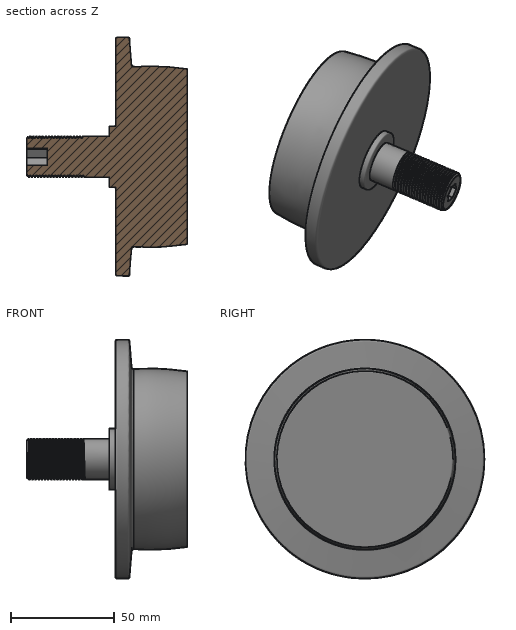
import cadquery as cq
import math


THREAD_END = 28.4
COLLAR_FACE = 40.0
FLANGE_FACE = 43.0
RIM_END = 49.9
TREAD_START = 51.0
WHEEL_END = 78.0

FLANGE_RADIUS = 58.0
FLANGE_FILLET = 1.0
TREAD_DIAMETER = 88.0
CROWN_X = 59.7
CROWN_ARC_RADIUS = 121.8
TREAD_ROOT_FILLET = 0.9
WHEEL_END_FILLET = 0.6

STUD_RADIUS = 10.0
COLLAR_RADIUS = 15.0
COLLAR_FILLET = 0.6
TIP_CHAMFER = 1.0

PITCH = 1.5
TURNS = 19
THREAD_DEPTH = 0.9
CREST_WIDTH = 0.2
GROOVE_OVERCUT = 0.1

SOCKET_FLATS = 8.0
SOCKET_DEPTH = 10.0
SOCKET_TURN = 6.6


def tread_radius(x):
    """Radius of the crowned tread at a place along the axis."""
    drop = CROWN_ARC_RADIUS - math.sqrt(CROWN_ARC_RADIUS**2 - (x - CROWN_X) ** 2)
    return TREAD_DIAMETER / 2 - drop


def revolve_about_axis(outline):
    return outline.close().revolve(360, (0, 0, 0), (1, 0, 0))


def edges_at(body, x, radius):
    """Circular edges of a revolved body at a given place and radius."""
    margin = 0.06
    box = cq.selectors.BoxSelector(
        (x - margin, -radius - margin, -radius - margin),
        (x + margin, radius + margin, radius + margin),
        boundingbox=True,
    )
    circles = body.edges(box).edges("%CIRCLE").vals()
    return body.newObject([edge for edge in circles if abs(edge.radius() - radius) < margin])


def make_wheel():
    tread_middle = (TREAD_START + WHEEL_END) / 2
    wheel = revolve_about_axis(
        cq.Workplane("XY")
        .moveTo(FLANGE_FACE, 0)
        .lineTo(FLANGE_FACE, FLANGE_RADIUS)
        .lineTo(RIM_END, FLANGE_RADIUS)
        .lineTo(TREAD_START, tread_radius(TREAD_START))
        .threePointArc(
            (tread_middle, tread_radius(tread_middle)),
            (WHEEL_END, tread_radius(WHEEL_END)),
        )
        .lineTo(WHEEL_END, 0)
    )
    wheel = edges_at(wheel, FLANGE_FACE, FLANGE_RADIUS).fillet(FLANGE_FILLET)
    wheel = edges_at(wheel, RIM_END, FLANGE_RADIUS).fillet(FLANGE_FILLET)
    wheel = edges_at(wheel, TREAD_START, tread_radius(TREAD_START)).fillet(TREAD_ROOT_FILLET)
    return edges_at(wheel, WHEEL_END, tread_radius(WHEEL_END)).fillet(WHEEL_END_FILLET)


def make_collar():
    collar = cq.Workplane("YZ", origin=(COLLAR_FACE, 0, 0)).circle(COLLAR_RADIUS)
    return collar.extrude(FLANGE_FACE - COLLAR_FACE).faces("<X").edges().fillet(COLLAR_FILLET)


def make_thread_groove():
    """Right-hand helical V groove; its last turn closes at the end of the thread."""
    mouth_radius = STUD_RADIUS + GROOVE_OVERCUT
    root_radius = STUD_RADIUS - THREAD_DEPTH
    half_mouth = (PITCH - CREST_WIDTH) / 2
    half_outer = half_mouth * (THREAD_DEPTH + GROOVE_OVERCUT) / THREAD_DEPTH
    height = TURNS * PITCH
    start = THREAD_END - half_mouth - height
    path = cq.Wire.makeHelix(PITCH, height, root_radius)
    groove = (
        cq.Workplane("XZ")
        .moveTo(root_radius, 0)
        .lineTo(mouth_radius, half_outer)
        .lineTo(mouth_radius, -half_outer)
        .close()
        .sweep(cq.Workplane(path), isFrenet=True)
    )
    return groove.rotate((0, 0, 0), (0, 1, 0), 90).translate((start, 0, 0))


def make_stud():
    shank = cq.Workplane("YZ").circle(STUD_RADIUS).extrude(COLLAR_FACE)
    chamfered_envelope = shank.faces("<X").chamfer(TIP_CHAMFER)
    return shank.cut(make_thread_groove()).intersect(chamfered_envelope)


def make_socket():
    corner_diameter = SOCKET_FLATS / math.cos(math.pi / 6)
    socket = cq.Workplane("YZ").polygon(6, corner_diameter).extrude(SOCKET_DEPTH)
    return socket.rotate((0, 0, 0), (1, 0, 0), 90 - SOCKET_TURN)


result = make_wheel().union(make_collar()).union(make_stud()).cut(make_socket())